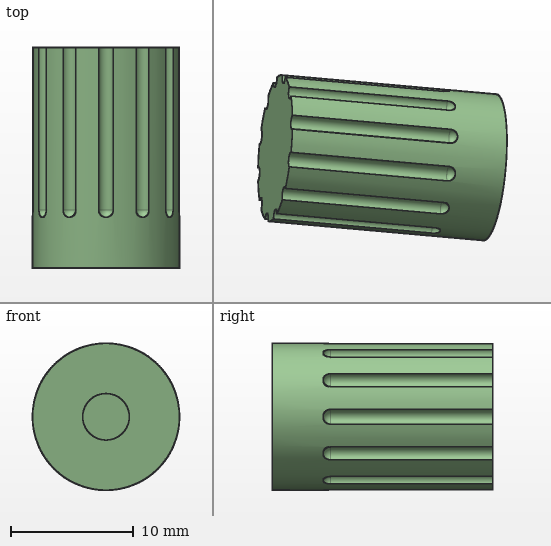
import cadquery as cq

body_diameter = 12.0
body_length = 18.0

hole_diameter = 3.8
hole_depth = 12.0

groove_count = 12
groove_radius = 0.6
plain_collar_length = 4.15

body_radius = body_diameter / 2
groove_end_center = plain_collar_length + groove_radius
groove_spacing = 360.0 / groove_count

Y_AXIS = cq.Vector(0, 1, 0)


def cylinder_along_y(radius, length, start):
    """Cylinder along +Y whose first face is centred on the given start point."""
    return cq.Workplane(cq.Solid.makeCylinder(radius, length, cq.Vector(*start), Y_AXIS))


def make_groove_cutter():
    """Ball-ended cutter centred on the body surface at the top of the knob."""
    center = (0, groove_end_center, body_radius)
    shank = cylinder_along_y(groove_radius, body_length - groove_end_center, center)
    ball = cq.Workplane("XY").sphere(groove_radius).translate(center)
    return shank.union(ball)


def cut_grooves(body):
    """Cut the grip grooves, evenly spaced around the Y axis."""
    cutter = make_groove_cutter()
    for index in range(groove_count):
        body = body.cut(cutter.rotate((0, 0, 0), (0, 1, 0), index * groove_spacing))
    return body


knob = cylinder_along_y(body_radius, body_length, (0, 0, 0))
knob = knob.cut(cylinder_along_y(hole_diameter / 2, hole_depth, (0, 0, 0)))
result = cut_grooves(knob)